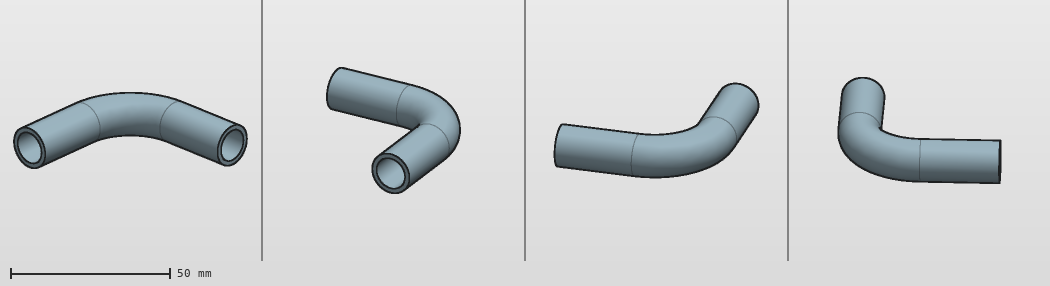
import cadquery as cq

overall_length = 51.75
outer_diameter = 13.5
bore_diameter = 10.3
bend_radius = 20.0

leg_length = overall_length - outer_diameter / 2 - bend_radius


def straight_leg(plane):
    """Tube that runs from the plane along its normal for one leg length."""
    return (
        cq.Workplane(plane)
        .circle(outer_diameter / 2)
        .circle(bore_diameter / 2)
        .extrude(leg_length)
    )


y_leg = straight_leg(cq.Plane(origin=(-bend_radius, 0, 0), xDir=(1, 0, 0), normal=(0, -1, 0)))
x_leg = straight_leg(cq.Plane(origin=(0, bend_radius, 0), xDir=(0, 1, 0), normal=(1, 0, 0)))

bend = (
    cq.Workplane("XZ")
    .center(-bend_radius, 0)
    .circle(outer_diameter / 2)
    .circle(bore_diameter / 2)
    .revolve(90, (bend_radius, 0), (bend_radius, -1))
)

result = y_leg.union(bend).union(x_leg)